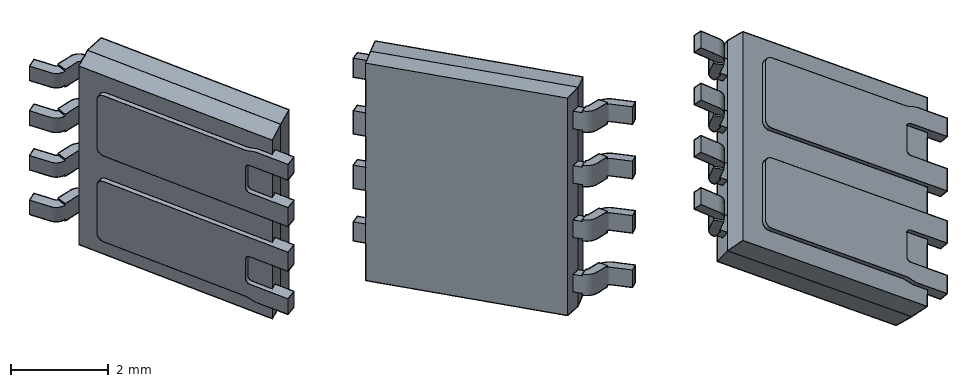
import cadquery as cq
import math


TOTAL_LENGTH = 6.05
X_MIN = -TOTAL_LENGTH / 2
X_MAX = TOTAL_LENGTH / 2

STANDOFF = 0.1
HOUSING_THICKNESS = 0.95
HOUSING_WIDTH = 5.12
SIDE_DRAFT = 0.02
LEAD_SIDE_X = -1.97
LEAD_SIDE_DRAFT = 0.06
TAB_SIDE_BOTTOM_X = 2.6
TAB_SIDE_TOP_X = 2.47
BOTTOM_Y = STANDOFF
TOP_Y = STANDOFF + HOUSING_THICKNESS
PARTING_Y = (BOTTOM_Y + TOP_Y) / 2
TAB_SIDE_X = (TAB_SIDE_BOTTOM_X + TAB_SIDE_TOP_X) / 2

PAD_THICKNESS = 0.255
PAD_LEFT_X = -1.43
PAD_INNER_Z = 0.36
PAD_OUTER_Z = 2.075
PAD_CORNER_RADIUS = 0.165
TAB_FLARE = 0.06
FLARE_END_X = 2.26
NOTCH_X = 2.03
NOTCH_INNER_Z = 0.91
NOTCH_OUTER_Z = 1.69
NOTCH_RADIUS = 0.11

LEAD_COUNT = 4
LEAD_PITCH = 1.27
LEAD_THICKNESS = 0.225
NARROW_WIDTH = 0.41
WIDE_WIDTH = 0.495
FOOT_LENGTH = 0.48
FOOT_ANGLE = 5.0
RISER_ANGLE = 71.0
BEND_INNER_RADIUS = 0.05


def housing_half(outer_y, tab_side_x):
    """Drafted half of the housing between the parting plane and the face at outer_y."""
    half_width = HOUSING_WIDTH / 2

    def section(y, x_lead, x_tab, half_z):
        corners = [(x_lead, -half_z), (x_tab, -half_z), (x_tab, half_z), (x_lead, half_z)]
        return cq.Wire.makePolygon([cq.Vector(x, y, z) for x, z in corners], close=True)

    parting = section(PARTING_Y, LEAD_SIDE_X, TAB_SIDE_X, half_width)
    outer = section(outer_y, LEAD_SIDE_X + LEAD_SIDE_DRAFT, tab_side_x, half_width - SIDE_DRAFT)
    return cq.Workplane(obj=cq.Solid.makeLoft([parting, outer], True))


def pad(side):
    """Forked pad on the +Z (side = 1) or -Z (side = -1) half, its underside on the seating plane."""
    outline = [
        (PAD_LEFT_X, PAD_INNER_Z),
        (X_MAX, PAD_INNER_Z),
        (X_MAX, NOTCH_INNER_Z),
        (NOTCH_X, NOTCH_INNER_Z),
        (NOTCH_X, NOTCH_OUTER_Z),
        (X_MAX, NOTCH_OUTER_Z),
        (X_MAX, PAD_OUTER_Z + TAB_FLARE),
        (FLARE_END_X, PAD_OUTER_Z + TAB_FLARE),
        (NOTCH_X, PAD_OUTER_Z),
        (PAD_LEFT_X, PAD_OUTER_Z),
    ]
    plate = cq.Workplane("XZ").polyline([(x, side * z) for x, z in outline]).close().extrude(-PAD_THICKNESS)
    plate = plate.edges("|Y and <X").fillet(PAD_CORNER_RADIUS)
    notch_corners = cq.selectors.BoxSelector(
        (NOTCH_X - NOTCH_RADIUS, 0, side * (NOTCH_INNER_Z - NOTCH_RADIUS)),
        (NOTCH_X + NOTCH_RADIUS, PAD_THICKNESS, side * (NOTCH_OUTER_Z + NOTCH_RADIUS)),
    )
    return plate.edges("|Y").edges(notch_corners).fillet(NOTCH_RADIUS)


def along(point, angle, distance):
    """Point reached by moving a distance in the direction of an angle in degrees."""
    direction = math.radians(angle)
    return (point[0] + distance * math.cos(direction), point[1] + distance * math.sin(direction))


def extrude_centred(outline, width):
    """Extrude a closed XY outline by a width centred on Z = 0."""
    return outline.close().extrude(width / 2, both=True)


def bend(centre, start_angle, end_angle):
    """XY outline of a bend around a centre, between two radial directions in degrees."""
    outer_radius = BEND_INNER_RADIUS + LEAD_THICKNESS
    middle_angle = (start_angle + end_angle) / 2
    return (
        cq.Workplane("XY")
        .moveTo(*along(centre, start_angle, BEND_INNER_RADIUS))
        .lineTo(*along(centre, start_angle, outer_radius))
        .threePointArc(along(centre, middle_angle, outer_radius), along(centre, end_angle, outer_radius))
        .lineTo(*along(centre, end_angle, BEND_INNER_RADIUS))
        .threePointArc(
            along(centre, middle_angle, BEND_INNER_RADIUS), along(centre, start_angle, BEND_INNER_RADIUS)
        )
    )


def strip(bottom_start, bottom_end, angle):
    """XY outline of a straight stretch of lead running at an angle in degrees."""
    normal = angle + 90
    return cq.Workplane("XY").polyline([
        bottom_start,
        bottom_end,
        along(bottom_end, normal, LEAD_THICKNESS),
        along(bottom_start, normal, LEAD_THICKNESS),
    ])


def make_lead(upper_half):
    """Gull-wing lead centred on Z = 0, its stub ending against the sloped side of the upper half."""
    outer_radius = BEND_INNER_RADIUS + LEAD_THICKNESS
    foot_normal = FOOT_ANGLE + 90
    riser_normal = RISER_ANGLE + 90

    toe = (X_MIN + LEAD_THICKNESS * math.sin(math.radians(FOOT_ANGLE)), 0)
    heel = along(toe, FOOT_ANGLE, FOOT_LENGTH)
    lower_centre = along(heel, foot_normal, outer_radius)
    riser_bottom = along(lower_centre, riser_normal, -outer_radius)

    upper_bend_rise = BEND_INNER_RADIUS * (1 - math.cos(math.radians(RISER_ANGLE)))
    riser_rise = PARTING_Y - upper_bend_rise - riser_bottom[1]
    riser_top = along(riser_bottom, RISER_ANGLE, riser_rise / math.sin(math.radians(RISER_ANGLE)))
    upper_centre = along(riser_top, riser_normal, -BEND_INNER_RADIUS)
    stub_start = along(upper_centre, 90, BEND_INNER_RADIUS)
    stub_end = (LEAD_SIDE_X + LEAD_SIDE_DRAFT, PARTING_Y)

    foot = extrude_centred(strip(toe, heel, FOOT_ANGLE), NARROW_WIDTH)
    lower_bend = extrude_centred(bend(lower_centre, foot_normal - 180, riser_normal - 180), NARROW_WIDTH)
    riser = extrude_centred(strip(riser_bottom, riser_top, RISER_ANGLE), WIDE_WIDTH)
    upper_bend = extrude_centred(bend(upper_centre, riser_normal, 90), WIDE_WIDTH)
    stub = extrude_centred(strip(stub_start, stub_end, 0), NARROW_WIDTH).cut(upper_half)
    return foot.union(lower_bend).union(riser).union(upper_bend).union(stub)


pads = [pad(side) for side in (1, -1)]

housing_top = housing_half(TOP_Y, TAB_SIDE_TOP_X)
housing_bottom = housing_half(BOTTOM_Y, TAB_SIDE_BOTTOM_X)
for plate in pads:
    housing_bottom = housing_bottom.cut(plate)

lead = make_lead(housing_top)
leads = []
for index in range(LEAD_COUNT):
    lead_z = (index - (LEAD_COUNT - 1) / 2) * LEAD_PITCH
    leads.append(lead.translate((0, 0, lead_z)))

result = cq.Compound.makeCompound([
    housing_top.solids().val(),
    housing_bottom.solids().val(),
    *[plate.solids().val() for plate in pads],
    *[copy.solids().val() for copy in leads],
])